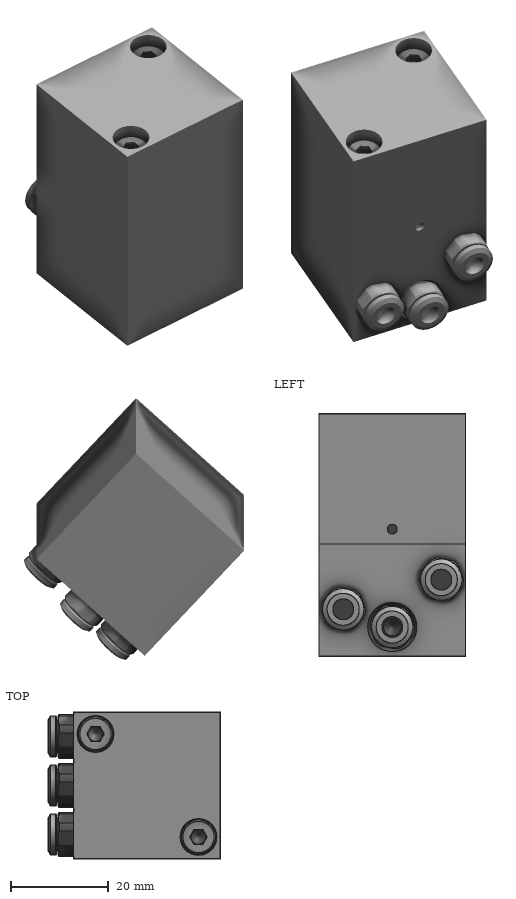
import cadquery as cq
import math

TOTAL_HEIGHT = 49.6
BLOCK_SIDE = 30.0
LOWER_HEIGHT = 22.95
UPPER_HEIGHT = TOTAL_HEIGHT - LOWER_HEIGHT
PORT_FACE_X = -BLOCK_SIDE / 2

VENT_DIAMETER = 2.0
VENT_Z = 26.0
VENT_DEPTH = 3.0

SCREW_OFFSET = 10.5
SCREW_PLACES = [(-SCREW_OFFSET, SCREW_OFFSET), (SCREW_OFFSET, -SCREW_OFFSET)]
HEAD_DIAMETER = 7.0
HEAD_HEIGHT = 4.0
HEAD_CHAMFER = 0.3
HEAD_RECESS = 2.5
COUNTERBORE_DIAMETER = 7.5
SHANK_DIAMETER = 3.95
SHANK_BOTTOM_Z = 14.9
SOCKET_FLATS = 3.1
SOCKET_DEPTH = 2.0
HEAD_TOP_Z = TOTAL_HEIGHT - HEAD_RECESS
HEAD_SEAT_Z = HEAD_TOP_Z - HEAD_HEIGHT

FITTING_PITCH = 10.0
CENTRE_PORT = (0.0, 6.0)
FITTING_PLACES = [(-FITTING_PITCH, 15.65), CENTRE_PORT, (FITTING_PITCH, 9.6)]
FITTING_REACH = 5.2
RING_RADIUS = 4.2
RING_FACE_RADIUS = 3.25
RING_NOSE = 0.5
RING_LENGTH = 1.75
RING_BACK_CHAMFER = 0.2
NECK_RADIUS = 3.35
NUT_LENGTH = 3.15
NUT_RADIUS = 4.5
NUT_FLATS = 8.55
NUT_TILT = 10.0
NUT_CHAMFER = 0.3
STUB_RADIUS = 3.95
STUB_LENGTH = 3.95
TUBE_BORE_DIAMETER = 4.25

COUNTERSINK_RADIUS = 5.0
DRILL_DIAMETER = 3.55
DRILL_DEPTH = 3.0
DRILL_POINT_ANGLE = 118.0


def cone_height(diameter):
    """Height of the conical point a drill leaves at the end of a hole."""
    return diameter / 2 / math.tan(math.radians(DRILL_POINT_ANGLE / 2))


def turned(profile):
    """Solid of revolution about X from (x, radius) points."""
    return cq.Workplane("XY").polyline(profile).close().revolve(360, (0, 0, 0), (1, 0, 0))


def disc_x(diameter, x_start, x_end):
    """Cylinder along X, centred on the X axis."""
    return cq.Workplane("YZ", origin=(x_start, 0, 0)).circle(diameter / 2).extrude(x_end - x_start)


def disc_z(diameter, z_bottom, z_top):
    """Cylinder along Z, centred on the Z axis."""
    return cq.Workplane("XY", origin=(0, 0, z_bottom)).circle(diameter / 2).extrude(z_top - z_bottom)


def hexagon_diameter(flats):
    """Corner-to-corner size of a hexagon from its size across flats."""
    return flats / math.cos(math.radians(30))


def block(z_bottom, height):
    return cq.Workplane("XY", origin=(0, 0, z_bottom)).rect(BLOCK_SIDE, BLOCK_SIDE).extrude(height)


def make_upper_block():
    body = block(LOWER_HEIGHT, UPPER_HEIGHT)
    screw_hole = disc_z(SHANK_DIAMETER, LOWER_HEIGHT, TOTAL_HEIGHT)
    screw_hole = screw_hole.union(disc_z(COUNTERBORE_DIAMETER, HEAD_SEAT_Z, TOTAL_HEIGHT))
    for x, y in SCREW_PLACES:
        body = body.cut(screw_hole.translate((x, y, 0)))
    vent = disc_x(VENT_DIAMETER, PORT_FACE_X, PORT_FACE_X + VENT_DEPTH)
    return body.cut(vent.translate((0, 0, VENT_Z)))


def make_centre_port_details():
    """Countersunk mouth and drilled hole, with the port face at X = 0."""
    countersink = turned([(0, 0), (0, COUNTERSINK_RADIUS), (COUNTERSINK_RADIUS, 0)])
    drill_end = STUB_LENGTH + DRILL_DEPTH
    drill = turned([
        (0, 0),
        (0, DRILL_DIAMETER / 2),
        (drill_end, DRILL_DIAMETER / 2),
        (drill_end + cone_height(DRILL_DIAMETER), 0),
    ])
    return countersink.union(drill)


def make_lower_block():
    body = block(0, LOWER_HEIGHT)
    screw_hole = disc_z(SHANK_DIAMETER, SHANK_BOTTOM_Z, LOWER_HEIGHT)
    for x, y in SCREW_PLACES:
        body = body.cut(screw_hole.translate((x, y, 0)))
    port = disc_x(2 * STUB_RADIUS, 0, STUB_LENGTH)
    for y, z in FITTING_PLACES:
        body = body.cut(port.translate((PORT_FACE_X, y, z)))
    centre_y, centre_z = CENTRE_PORT
    return body.cut(make_centre_port_details().translate((PORT_FACE_X, centre_y, centre_z)))


def make_screw(x, y):
    """Cap screw with a hexagon socket that ends in a drill point."""
    head = disc_z(HEAD_DIAMETER, HEAD_SEAT_Z, HEAD_TOP_Z).faces(">Z").edges().chamfer(HEAD_CHAMFER)
    shank = disc_z(SHANK_DIAMETER, SHANK_BOTTOM_Z, HEAD_SEAT_Z)
    socket_floor_z = HEAD_TOP_Z - SOCKET_DEPTH
    socket = (
        cq.Workplane("XY", origin=(0, 0, socket_floor_z))
        .polygon(6, hexagon_diameter(SOCKET_FLATS))
        .extrude(SOCKET_DEPTH)
    )
    point = cq.Workplane(
        cq.Solid.makeCone(
            SOCKET_FLATS / 2, 0, cone_height(SOCKET_FLATS),
            pnt=cq.Vector(0, 0, socket_floor_z), dir=cq.Vector(0, 0, -1),
        )
    )
    return head.union(shank).cut(socket).cut(point).translate((x, y, 0))


def make_nut():
    """Hexagon nut with rounded corners and a chamfered outer end, seated at X = 0."""
    blank = disc_x(2 * NUT_RADIUS, -NUT_LENGTH, 0).faces("<X").edges().chamfer(NUT_CHAMFER)
    hexagon = (
        cq.Workplane("YZ", origin=(-NUT_LENGTH, 0, 0))
        .polygon(6, hexagon_diameter(NUT_FLATS))
        .extrude(NUT_LENGTH)
        .rotate((0, 0, 0), (1, 0, 0), NUT_TILT)
    )
    return blank.intersect(hexagon)


def make_fitting(y, z):
    """Push-in fitting: release ring, neck, nut and stub, bored through along X."""
    ring_back_x = RING_LENGTH - FITTING_REACH
    ring = turned([
        (-FITTING_REACH, 0),
        (-FITTING_REACH, RING_FACE_RADIUS),
        (RING_NOSE - FITTING_REACH, RING_RADIUS),
        (ring_back_x - RING_BACK_CHAMFER, RING_RADIUS),
        (ring_back_x, RING_RADIUS - RING_BACK_CHAMFER),
        (ring_back_x, 0),
    ])
    neck = disc_x(2 * NECK_RADIUS, ring_back_x, -NUT_LENGTH)
    stub = disc_x(2 * STUB_RADIUS, 0, STUB_LENGTH)
    tube_bore = disc_x(TUBE_BORE_DIAMETER, -FITTING_REACH, STUB_LENGTH)
    body = make_nut().union(ring).union(neck).union(stub).cut(tube_bore)
    return body.translate((PORT_FACE_X, y, z))


upper_block = make_upper_block()
lower_block = make_lower_block()
screws = [make_screw(x, y) for x, y in SCREW_PLACES]
fittings = [make_fitting(y, z) for y, z in FITTING_PLACES]

result = cq.Compound.makeCompound([
    upper_block.val(),
    lower_block.val(),
    *[screw.val() for screw in screws],
    *[fitting.val() for fitting in fittings],
])